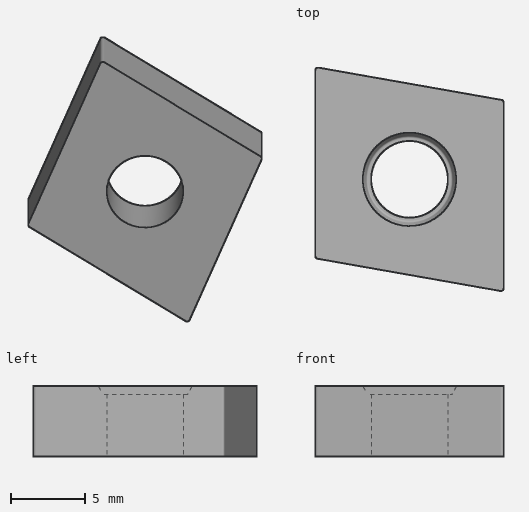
import cadquery as cq
import math

overall_length = 15.06
thickness = 4.76
acute_angle = 80.0
corner_radius = 0.2

hole_diameter = 5.15
countersink_diameter = 6.3
countersink_floor_diameter = 5.74
countersink_depth = 0.55
countersink_fillet = 0.15

slope = math.radians(90.0 - acute_angle)

corner_factor = (1 + math.sin(slope)) / math.cos(slope)
side_distance = corner_radius + (overall_length / 2 - corner_radius) / corner_factor
acute_y = side_distance * corner_factor
obtuse_y = side_distance / corner_factor


def make_body():
    outline = [
        (-side_distance, acute_y),
        (side_distance, obtuse_y),
        (side_distance, -acute_y),
        (-side_distance, -obtuse_y),
    ]
    plate = cq.Workplane("XY").polyline(outline).close().extrude(thickness)
    return plate.edges("|Z").fillet(corner_radius)


def make_hole():
    """Through hole below a flat-bottomed conical countersink with a rounded floor edge."""
    bore = cq.Workplane("XY").circle(hole_diameter / 2).extrude(thickness)
    floor_z = thickness - countersink_depth
    countersink_profile = [
        (0, floor_z),
        (countersink_floor_diameter / 2, floor_z),
        (countersink_diameter / 2, thickness),
        (0, thickness),
    ]
    countersink = (
        cq.Workplane("XZ")
        .polyline(countersink_profile)
        .close()
        .revolve(360, (0, 0, 0), (0, 1, 0))
        .faces("<Z")
        .edges()
        .fillet(countersink_fillet)
    )
    return bore.union(countersink)


result = make_body().cut(make_hole())